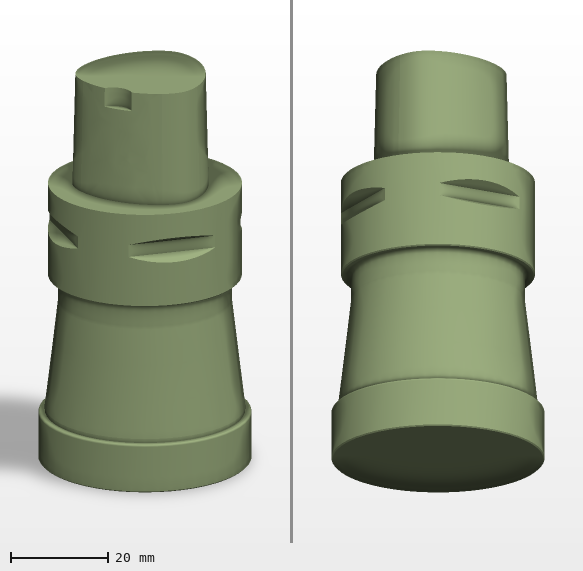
import cadquery as cq
import math

TOTAL_HEIGHT = 84.0
SHANK_LENGTH = 24.0
SHANK_BASE_RADIUS = 14.0
SHANK_TAPER = 1 / 40
LOBE_HEIGHT = 0.9
LOBE_COUNT = 3
SAMPLES_PER_FACE = 8

KEY_NOTCH_RADIUS = 3.9
KEY_NOTCH_CENTER_Y = -14.6
KEY_NOTCH_DEPTH = 4.0

FLANGE_RADIUS = 40.0 / 2
FLANGE_HEIGHT = 20.2
FLANGE_CHAMFER = 0.25
NOTCH_COUNT = 4
NOTCH_FIRST_ANGLE = 45
NOTCH_FLOOR_RADIUS = 17.65
NOTCH_FLOOR_WIDTH = 2.6
NOTCH_FLANK_ANGLE = 30
NOTCH_BELOW_FLANGE_TOP = 8.0

NECK_RADIUS = 35.8 / 2
NECK_FILLET = 0.8
CONE_TOP_Z = 34.6
CONE_BLEND_RADIUS = 5.0
CONE_BASE_RADIUS = 20.7

NUT_HEIGHT = 11.25
NUT_RADIUS = 43.9 / 2
NUT_SHOULDER_Z = 10.4
NUT_TOP_FILLET = 0.4
NUT_BOTTOM_CHAMFER = 0.25

FLANGE_TOP_Z = TOTAL_HEIGHT - SHANK_LENGTH
FLANGE_BOTTOM_Z = FLANGE_TOP_Z - FLANGE_HEIGHT


def lobed_point(mean_radius, angle, z):
    """Point whose outward normal is at `angle`; the outline has a lobe toward +Y."""
    phase = LOBE_COUNT * (angle - math.pi / 2)
    support = mean_radius + LOBE_HEIGHT * math.cos(phase)
    slide = -LOBE_COUNT * LOBE_HEIGHT * math.sin(phase)
    x = support * math.cos(angle) - slide * math.sin(angle)
    y = support * math.sin(angle) + slide * math.cos(angle)
    return cq.Vector(x, y, z)


def lobed_wire(mean_radius, z):
    """Closed outline of alternating lobe and flank curves, smooth at every joint."""
    face_count = 2 * LOBE_COUNT
    face_angle = 2 * math.pi / face_count
    edges = []
    for index in range(face_count):
        start = (index + 0.5) * face_angle + math.pi / 2
        angles = [start + face_angle * step / SAMPLES_PER_FACE for step in range(SAMPLES_PER_FACE + 1)]
        points = [lobed_point(mean_radius, angle, z) for angle in angles]
        tangents = [cq.Vector(-math.sin(angle), math.cos(angle), 0) for angle in (angles[0], angles[-1])]
        edges.append(cq.Edge.makeSpline(points, tangents=tangents))
    return cq.Wire.assembleEdges(edges)


def make_shank():
    top_radius = SHANK_BASE_RADIUS - SHANK_TAPER * SHANK_LENGTH
    base = lobed_wire(SHANK_BASE_RADIUS, FLANGE_TOP_Z)
    top = lobed_wire(top_radius, TOTAL_HEIGHT)
    shank = cq.Workplane(obj=cq.Solid.makeLoft([base, top], True))
    key_notch = (
        cq.Workplane("XY", origin=(0, KEY_NOTCH_CENTER_Y, TOTAL_HEIGHT - KEY_NOTCH_DEPTH))
        .circle(KEY_NOTCH_RADIUS)
        .extrude(KEY_NOTCH_DEPTH)
    )
    return shank.cut(key_notch)


def make_gripper_notch(angle):
    """Straight groove with sloping flanks, cut across the flange rim at `angle`."""
    depth = FLANGE_RADIUS - NOTCH_FLOOR_RADIUS
    half_floor = NOTCH_FLOOR_WIDTH / 2
    half_mouth = half_floor + depth * math.tan(math.radians(NOTCH_FLANK_ANGLE))
    return (
        cq.Workplane("XZ")
        .polyline(
            [
                (NOTCH_FLOOR_RADIUS, -half_floor),
                (FLANGE_RADIUS, -half_mouth),
                (FLANGE_RADIUS, half_mouth),
                (NOTCH_FLOOR_RADIUS, half_floor),
            ]
        )
        .close()
        .extrude(FLANGE_RADIUS, both=True)
        .translate((0, 0, FLANGE_TOP_Z - NOTCH_BELOW_FLANGE_TOP))
        .rotate((0, 0, 0), (0, 0, 1), angle)
    )


def make_holder():
    """Shank, flange, neck and cone in one piece."""
    cone_angle = math.atan((CONE_BASE_RADIUS - NECK_RADIUS) / (CONE_TOP_Z - NUT_HEIGHT))
    blend_reach = CONE_BLEND_RADIUS * math.tan(cone_angle / 2)
    blend_center_r = NECK_RADIUS + CONE_BLEND_RADIUS
    blend_start_z = CONE_TOP_Z + blend_reach
    blend_middle = (
        blend_center_r - CONE_BLEND_RADIUS * math.cos(cone_angle / 2),
        blend_start_z - CONE_BLEND_RADIUS * math.sin(cone_angle / 2),
    )
    blend_end = (
        blend_center_r - CONE_BLEND_RADIUS * math.cos(cone_angle),
        blend_start_z - CONE_BLEND_RADIUS * math.sin(cone_angle),
    )
    fillet_inset = NECK_FILLET * (1 - math.sqrt(0.5))
    holder = (
        cq.Workplane("XZ")
        .moveTo(0, NUT_HEIGHT)
        .lineTo(CONE_BASE_RADIUS, NUT_HEIGHT)
        .lineTo(*blend_end)
        .threePointArc(blend_middle, (NECK_RADIUS, blend_start_z))
        .lineTo(NECK_RADIUS, FLANGE_BOTTOM_Z - NECK_FILLET)
        .threePointArc(
            (NECK_RADIUS + fillet_inset, FLANGE_BOTTOM_Z - fillet_inset),
            (NECK_RADIUS + NECK_FILLET, FLANGE_BOTTOM_Z),
        )
        .lineTo(FLANGE_RADIUS - FLANGE_CHAMFER, FLANGE_BOTTOM_Z)
        .lineTo(FLANGE_RADIUS, FLANGE_BOTTOM_Z + FLANGE_CHAMFER)
        .lineTo(FLANGE_RADIUS, FLANGE_TOP_Z)
        .lineTo(0, FLANGE_TOP_Z)
        .close()
        .revolve(360, (0, 0, 0), (0, 1, 0))
    )
    for index in range(NOTCH_COUNT):
        holder = holder.cut(make_gripper_notch(NOTCH_FIRST_ANGLE + index * 360 / NOTCH_COUNT))
    return holder.union(make_shank())


def make_nut():
    """Round nut with a rounded shoulder below a short collar that meets the cone."""
    ring = cq.Workplane("XY").circle(NUT_RADIUS).extrude(NUT_SHOULDER_Z)
    ring = ring.faces(">Z").edges().fillet(NUT_TOP_FILLET)
    ring = ring.faces("<Z").edges().chamfer(NUT_BOTTOM_CHAMFER)
    collar = cq.Workplane("XY").circle(CONE_BASE_RADIUS).extrude(NUT_HEIGHT)
    return ring.union(collar)


holder = make_holder()
nut = make_nut()
result = cq.Compound.makeCompound([holder.val(), nut.val()])